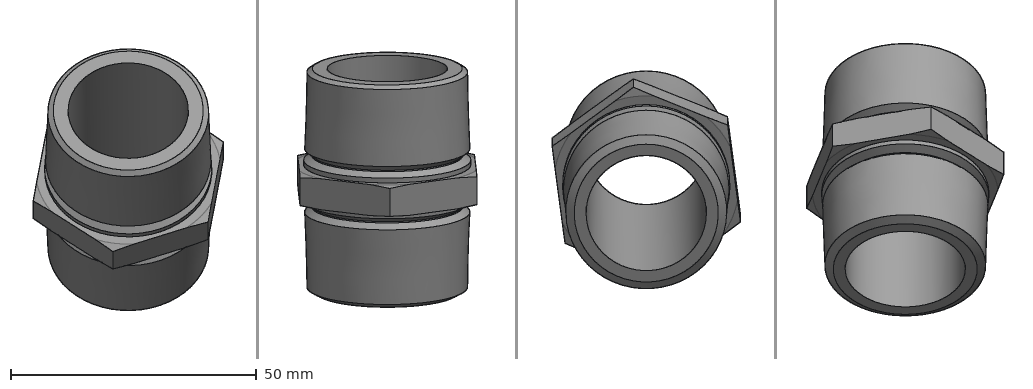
import cadquery as cq
import math

length = 46.5
mid_height = length / 2
bore_radius = 12.25

thread_end_radius = 16.35
thread_base_radius = 16.85
thread_base_offset = 6.6
top_face_radius = 15.25
top_chamfer_height = 0.7
bottom_face_radius = 14.65
bottom_chamfer_height = 0.98

groove_radius = 15.4
groove_outer_offset = 5.5
groove_inner_offset = 5.2
collar_radius = 17.0
collar_offset = 4.25

across_flats = 36.0
across_corners = across_flats / math.cos(math.pi / 6)
hex_height = 6.45
hex_chamfer_radius = 18.9
hex_chamfer_drop = 0.33


def pipe_half(direction, face_radius, chamfer_height):
    """Solid of revolution from mid height to one end; direction is +1 (up) or -1 (down)."""
    half_profile = [
        (0, 0),
        (collar_radius, 0),
        (collar_radius, collar_offset),
        (groove_radius, groove_inner_offset),
        (groove_radius, groove_outer_offset),
        (thread_base_radius, thread_base_offset),
        (thread_end_radius, mid_height - chamfer_height),
        (face_radius, mid_height),
        (0, mid_height),
    ]
    points = [(radius, mid_height + direction * offset) for radius, offset in half_profile]
    return cq.Workplane("XZ").polyline(points).close().revolve(360, (0, 0), (0, 1))


def hex_section():
    """Hexagon with corners on X, its corners chamfered conically above and below."""
    prism = (
        cq.Workplane("XY", origin=(0, 0, mid_height - hex_height / 2))
        .polygon(6, across_corners)
        .extrude(hex_height)
    )
    corner_radius = across_corners / 2
    top = mid_height + hex_height / 2
    bottom = mid_height - hex_height / 2
    chamfer_envelope = (
        cq.Workplane("XZ")
        .polyline([
            (0, bottom),
            (hex_chamfer_radius, bottom),
            (corner_radius, bottom + hex_chamfer_drop),
            (corner_radius, top - hex_chamfer_drop),
            (hex_chamfer_radius, top),
            (0, top),
        ])
        .close()
        .revolve(360, (0, 0), (0, 1))
    )
    return prism.intersect(chamfer_envelope)


upper_half = pipe_half(1, top_face_radius, top_chamfer_height)
lower_half = pipe_half(-1, bottom_face_radius, bottom_chamfer_height)
bore = cq.Workplane("XY").circle(bore_radius).extrude(length)

result = upper_half.union(lower_half).union(hex_section()).cut(bore)